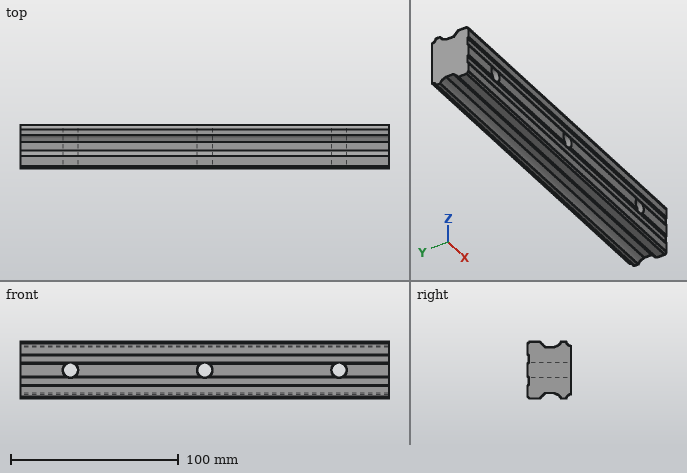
import cadquery as cq
import math

length = 220.0
depth = 26.0
height = 34.0
front = -depth / 2
back = depth / 2
half_height = height / 2

edge_chamfer = 1.3
groove_depth = 0.7
groove_wall_run = 0.7
groove_inner_z = 3.7
groove_outer_z = 9.5

waist_cut = 3.3
waist_z = half_height - waist_cut
foot_end = front + 7.3
waist_start = foot_end + waist_cut
waist_end = front + 15.8

relief_width = 1.5
relief_rise = 0.7
head_start = front + 20.0
head_end = front + 23.0
rear_race_drop = 2.6
front_race_sag = 0.5
rear_race_sag = 0.7

hole_diameter = 9.0
hole_pitch = 80.0


def concave_midpoint(start, end, sag):
    """Middle of an arc from start to end, bowed to the right of its path."""
    dy = end[0] - start[0]
    dz = end[1] - start[1]
    chord = math.hypot(dy, dz)
    mid_y = (start[0] + end[0]) / 2
    mid_z = (start[1] + end[1]) / 2
    return (mid_y + sag * dz / chord, mid_z - sag * dy / chord)


def upper_half_rail():
    race_start = (waist_end + relief_width, waist_z + relief_rise)
    race_end = (head_start, half_height)
    rear_race_start = (head_end, half_height)
    rear_race_end = (back, half_height - rear_race_drop)
    return (
        cq.Workplane("YZ", origin=(-length / 2, 0, 0))
        .moveTo(back, 0)
        .lineTo(front, 0)
        .lineTo(front, groove_inner_z)
        .lineTo(front + groove_depth, groove_inner_z + groove_wall_run)
        .lineTo(front + groove_depth, groove_outer_z - groove_wall_run)
        .lineTo(front, groove_outer_z)
        .lineTo(front, half_height - edge_chamfer)
        .lineTo(front + edge_chamfer, half_height)
        .lineTo(foot_end, half_height)
        .lineTo(waist_start, waist_z)
        .lineTo(waist_end, waist_z)
        .lineTo(*race_start)
        .threePointArc(concave_midpoint(race_start, race_end, front_race_sag), race_end)
        .lineTo(*rear_race_start)
        .threePointArc(concave_midpoint(rear_race_start, rear_race_end, rear_race_sag), rear_race_end)
        .close()
        .extrude(length)
    )


def mounting_holes():
    return (
        cq.Workplane("XZ", origin=(0, back, 0))
        .pushPoints([(index * hole_pitch, 0) for index in (-1, 0, 1)])
        .circle(hole_diameter / 2)
        .extrude(depth)
    )


upper_half = upper_half_rail()
rail = upper_half.union(upper_half.mirror("XY")).clean()
result = rail.cut(mounting_holes())